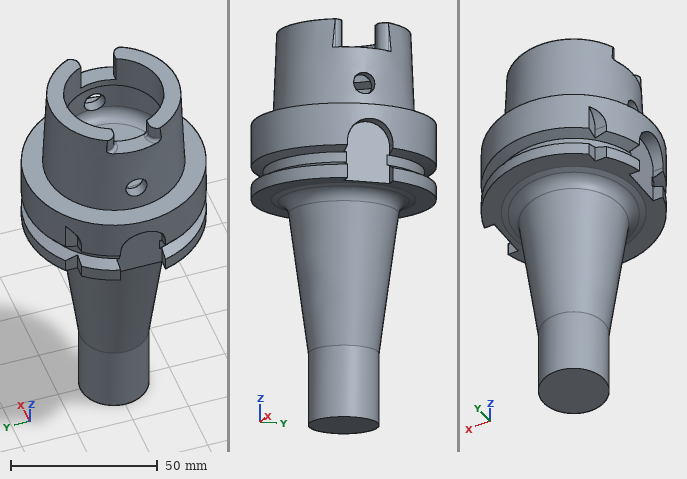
import cadquery as cq
import math

total_height = 136.9
shank_top = 25.0
neck_top = 74.0
neck_arc_top = 78.3
flange_bottom = 79.0
flange_top = 83.6
groove_bottom = 85.4
groove_top = 89.0
collar_bottom = 90.5
collar_top = 105.1

shank_radius = 24.1 / 2
neck_radius = 18.8
neck_arc_radius_limit = 22.3
relief_radius = 24.6
collar_radius = 63.0 / 2
groove_radius = 27.5
taper_base_radius = 24.2
taper_top_radius = 22.9

bore_radius = 34.1 / 2
undercut_radius = 40.1 / 2
bore_floor_radius = 15.9
lip_bottom = 124.3
undercut_bottom = 111.3
clamp_angle = math.radians(30)
undercut_top = lip_bottom - (undercut_radius - bore_radius) * math.tan(clamp_angle)
bore_corner_radius = undercut_radius - bore_floor_radius
bore_floor = undercut_bottom - bore_corner_radius

cross_hole_diameter = 7.5
cross_hole_height = 114.3

drive_half_width = 6.3
drive_corner_radius = 3.1
left_drive_floor = 131.0
right_drive_floor = 126.9
left_drive_fillet = 1.2

gripper_half_width = 8.1
gripper_top = 100.1
gripper_floor = 26.5
notch_corner = 20.0
notch_arc_height = 93.0


def revolved_body():
    profile = (
        cq.Workplane("XZ")
        .moveTo(0, 0)
        .lineTo(shank_radius, 0)
        .lineTo(shank_radius, shank_top)
        .lineTo(neck_radius, neck_top)
        .tangentArcPoint((neck_arc_radius_limit, neck_arc_top), relative=False)
        .lineTo(relief_radius, flange_bottom)
        .lineTo(collar_radius, flange_bottom)
        .lineTo(collar_radius, flange_top)
        .lineTo(groove_radius, groove_bottom)
        .lineTo(groove_radius, groove_top)
        .lineTo(collar_radius, collar_bottom)
        .lineTo(collar_radius, collar_top)
        .lineTo(taper_base_radius, collar_top)
        .lineTo(taper_top_radius, total_height)
        .lineTo(0, total_height)
        .close()
    )
    return profile.revolve(360, (0, 0), (0, 1))


def bore():
    profile = (
        cq.Workplane("XZ")
        .moveTo(0, bore_floor)
        .lineTo(bore_floor_radius, bore_floor)
        .tangentArcPoint((undercut_radius, undercut_bottom), relative=False)
        .lineTo(undercut_radius, undercut_top)
        .lineTo(bore_radius, lip_bottom)
        .lineTo(bore_radius, total_height)
        .lineTo(0, total_height)
        .close()
    )
    return profile.revolve(360, (0, 0), (0, 1))


def drive_slot(side, floor):
    """Slot on the +X (side=1) or -X (side=-1) wall, flaring outward round the rounded drive corners."""
    flare_half_width = drive_half_width + drive_corner_radius
    flare_end = math.sqrt(taper_top_radius**2 - flare_half_width**2)
    flare_start = flare_end - drive_corner_radius
    arc_offset = drive_corner_radius * math.sqrt(0.5)
    arc_middle_x = flare_start + arc_offset
    arc_middle_y = flare_half_width - arc_offset
    return (
        cq.Workplane("XY", origin=(0, 0, floor))
        .moveTo(0, -drive_half_width)
        .lineTo(side * flare_start, -drive_half_width)
        .threePointArc((side * arc_middle_x, -arc_middle_y), (side * flare_end, -flare_half_width))
        .lineTo(side * flare_end, -collar_radius)
        .lineTo(side * collar_radius, -collar_radius)
        .lineTo(side * collar_radius, collar_radius)
        .lineTo(side * flare_end, collar_radius)
        .lineTo(side * flare_end, flare_half_width)
        .threePointArc((side * arc_middle_x, arc_middle_y), (side * flare_start, drive_half_width))
        .lineTo(0, drive_half_width)
        .close()
        .extrude(total_height - floor)
    )


def round_ended_cutter(center_y, arc_height, start_x):
    """Cutter open at the flange bottom with a round upper end, running from start_x toward +X."""
    height = arc_height - flange_bottom
    plane = cq.Workplane("YZ", origin=(start_x, center_y, arc_height))
    round_end = plane.circle(gripper_half_width).extrude(collar_radius)
    straight = plane.center(0, -height / 2).rect(2 * gripper_half_width, height).extrude(collar_radius)
    return round_end.union(straight)


def gripper_slots():
    right = round_ended_cutter(0, gripper_top - gripper_half_width, gripper_floor)
    return right.union(right.mirror("YZ"))


def orientation_notch():
    center_y = notch_corner + gripper_half_width
    return round_ended_cutter(center_y, notch_arc_height, notch_corner).mirror("YZ")


def cross_hole():
    plane = cq.Workplane("YZ", origin=(0, 0, cross_hole_height))
    return plane.circle(cross_hole_diameter / 2).extrude(collar_radius, both=True)


left_drive_slot = drive_slot(-1, left_drive_floor).edges("<Z").edges("not(<X or >X)").fillet(left_drive_fillet)

result = (
    revolved_body()
    .cut(bore())
    .cut(left_drive_slot)
    .cut(drive_slot(1, right_drive_floor))
    .cut(gripper_slots())
    .cut(orientation_notch())
    .cut(cross_hole())
)